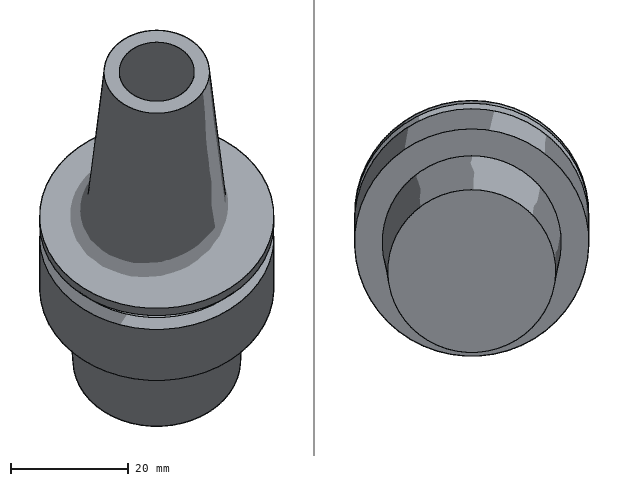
import cadquery as cq
import math

total_height = 80.0
shank_height = 20.0
collar_top = 40.0
rim_thickness = 2.0
groove_chamfer_height = 1.0
groove_floor_height = 1.8

collar_radius = 20.0
groove_radius = 17.4
groove_ledge_radius = 18.2
shank_bottom_radius = 14.3
shank_top_radius = 15.3
nose_tip_radius = 18.0 / 2
blend_outer_radius = 16.8
blend_radius = 5.0
bore_radius = 6.4

nose_half_angle = math.radians(4.5)
bore_depth = 36.0

groove_top = collar_top - rim_thickness
floor_top = groove_top - groove_chamfer_height
floor_bottom = floor_top - groove_floor_height
groove_bottom = floor_bottom - groove_chamfer_height


def blend_point(angle):
    """Point on the concave blend, at an angle above the inward horizontal."""
    center_z = collar_top + blend_radius
    return (
        blend_outer_radius - blend_radius * math.cos(angle),
        center_z - blend_radius * math.sin(angle),
    )


def make_body():
    """Shank, grooved collar, blend and tapered nose as one revolved profile."""
    blend_middle_angle = (nose_half_angle + math.pi / 2) / 2
    profile = (
        cq.Workplane("XZ")
        .moveTo(0, 0)
        .lineTo(shank_bottom_radius, 0)
        .lineTo(shank_top_radius, shank_height)
        .lineTo(collar_radius, shank_height)
        .lineTo(collar_radius, groove_bottom)
        .lineTo(groove_ledge_radius, floor_bottom)
        .lineTo(groove_radius, floor_bottom)
        .lineTo(groove_radius, floor_top)
        .lineTo(groove_ledge_radius, floor_top)
        .lineTo(collar_radius, groove_top)
        .lineTo(collar_radius, collar_top)
        .lineTo(blend_outer_radius, collar_top)
        .threePointArc(blend_point(blend_middle_angle), blend_point(nose_half_angle))
        .lineTo(nose_tip_radius, total_height)
        .lineTo(0, total_height)
        .close()
    )
    return profile.revolve(360, (0, 0, 0), (0, 1, 0))


def make_bore():
    """Blind tool bore, open at the nose tip."""
    return (
        cq.Workplane("XY")
        .workplane(offset=total_height - bore_depth)
        .circle(bore_radius)
        .extrude(bore_depth)
    )


result = make_body().cut(make_bore())